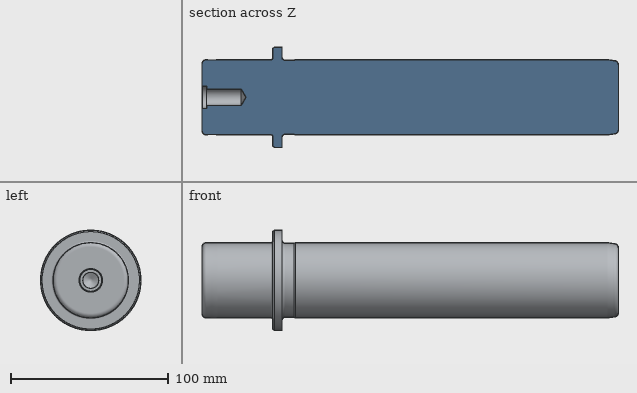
import cadquery as cq
import math

TOTAL_LENGTH = 265.0
LEAD_IN_LENGTH = 10.0
FLANGE_START = 45.0
FLANGE_THICKNESS = 6.0
RELIEF_LENGTH = 8.5
TIP_LENGTH = 7.0

BODY_DIAMETER = 48.0
LEAD_IN_CLEARANCE = 0.1
FLANGE_DIAMETER = 64.0
RELIEF_DIAMETER = 47.2
TIP_DIAMETER = 46.8

SPIGOT_END_RADIUS = 2.75
FLANGE_ROOT_RADIUS = 1.0
FLANGE_RIM_CHAMFER = 1.0
RELIEF_ROOT_RADIUS = 2.0
RELIEF_RUNOUT_LENGTH = 1.0
TIP_END_RADIUS = 3.0

MOUTH_DIAMETER = 14.0
MOUTH_DEPTH = 3.0
MOUTH_CHAMFER = 0.5
CENTRE_HOLE_DIAMETER = 10.2
CENTRE_HOLE_DEPTH = 25.0
DRILL_POINT_ANGLE = 120.0

ARC_MIDPOINT = math.sqrt(0.5)


def add_round(profile, centre, radius, side, end):
    """Add a quarter arc that bulges from its centre towards the (x, r) signs in side."""
    middle = (
        centre[0] + side[0] * radius * ARC_MIDPOINT,
        centre[1] + side[1] * radius * ARC_MIDPOINT,
    )
    return profile.threePointArc(middle, end)


def make_pin():
    """Revolve the outer profile of spigot, flange, relief and guide shank."""
    body_r = BODY_DIAMETER / 2
    lead_in_r = (BODY_DIAMETER - LEAD_IN_CLEARANCE) / 2
    flange_r = FLANGE_DIAMETER / 2
    relief_r = RELIEF_DIAMETER / 2
    tip_r = TIP_DIAMETER / 2
    flange_end = FLANGE_START + FLANGE_THICKNESS
    relief_end = flange_end + RELIEF_LENGTH
    tip_start = TOTAL_LENGTH - TIP_LENGTH

    round_r = SPIGOT_END_RADIUS
    profile = cq.Workplane("XZ").lineTo(0, lead_in_r - round_r)
    profile = add_round(profile, (round_r, lead_in_r - round_r), round_r, (-1, 1), (round_r, lead_in_r))
    profile = profile.lineTo(LEAD_IN_LENGTH, body_r)

    root_r = FLANGE_ROOT_RADIUS
    profile = profile.lineTo(FLANGE_START - root_r, body_r)
    root_centre = (FLANGE_START - root_r, body_r + root_r)
    profile = add_round(profile, root_centre, root_r, (1, -1), (FLANGE_START, body_r + root_r))
    profile = profile.lineTo(FLANGE_START, flange_r - FLANGE_RIM_CHAMFER)
    profile = profile.lineTo(FLANGE_START + FLANGE_RIM_CHAMFER, flange_r)
    profile = profile.lineTo(flange_end, flange_r)

    root_r = RELIEF_ROOT_RADIUS
    profile = profile.lineTo(flange_end, relief_r + root_r)
    root_centre = (flange_end + root_r, relief_r + root_r)
    profile = add_round(profile, root_centre, root_r, (-1, -1), (flange_end + root_r, relief_r))
    profile = profile.lineTo(relief_end - RELIEF_RUNOUT_LENGTH, relief_r)
    profile = profile.lineTo(relief_end, body_r)

    round_r = TIP_END_RADIUS
    profile = profile.lineTo(tip_start, body_r)
    profile = profile.lineTo(TOTAL_LENGTH - round_r, tip_r)
    tip_centre = (TOTAL_LENGTH - round_r, tip_r - round_r)
    profile = add_round(profile, tip_centre, round_r, (1, 1), (TOTAL_LENGTH, tip_r - round_r))
    profile = profile.lineTo(TOTAL_LENGTH, 0).close()
    return profile.revolve(360, (0, 0, 0), (1, 0, 0))


def make_centre_hole():
    """Revolve the stepped blind hole with its drill point."""
    mouth_r = MOUTH_DIAMETER / 2
    hole_r = CENTRE_HOLE_DIAMETER / 2
    point_length = hole_r / math.tan(math.radians(DRILL_POINT_ANGLE / 2))
    outline = [
        (0, 0),
        (0, mouth_r + MOUTH_CHAMFER),
        (MOUTH_CHAMFER, mouth_r),
        (MOUTH_DEPTH, mouth_r),
        (MOUTH_DEPTH, hole_r),
        (CENTRE_HOLE_DEPTH, hole_r),
        (CENTRE_HOLE_DEPTH + point_length, 0),
    ]
    return cq.Workplane("XZ").polyline(outline).close().revolve(360, (0, 0, 0), (1, 0, 0))


result = make_pin().cut(make_centre_hole())